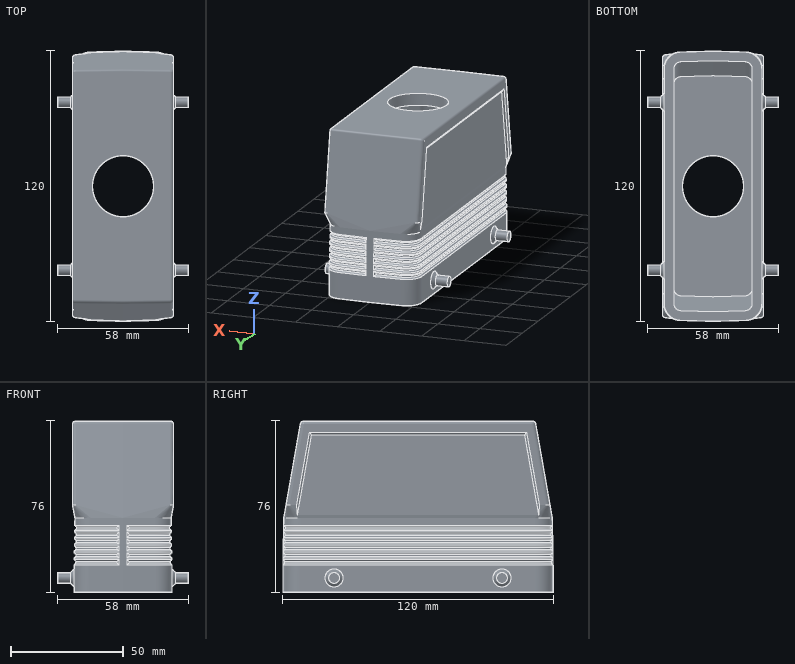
import cadquery as cq
import math

HEIGHT = 76.0
FLANGE_HEIGHT = 12.0
BAND_BOTTOM = 30.0
BAND_TOP = 33.0
FLARE_TOP = 38.7

RIM_HALF_WIDTH = 21.75
RIM_HALF_LENGTH = 60.0
LOWER_DRAFT = 0.35
BAND_HALF_WIDTH = RIM_HALF_WIDTH - LOWER_DRAFT
BAND_HALF_LENGTH = RIM_HALF_LENGTH - LOWER_DRAFT
UPPER_HALF_WIDTH = 22.5
LOWER_CORNER_RADIUS = 7.25
UPPER_FILLET = 1.5

LOWER_RIDGE_ANGLE = math.radians(1.6)
UPPER_RIDGE_ANGLE = math.radians(0.7)
END_LEAN = math.radians(10.0)

GROOVE_COUNT = 6
GROOVE_PITCH = 3.05
GROOVE_MOUTH = 2.3
GROOVE_FLOOR = 0.8
GROOVE_DEPTH = 0.75
BAR_HALF_WIDTH = 1.8

PANEL_DEPTH = 0.85
PANEL_TOP = 71.0
PANEL_END_MARGIN = 4.75
PANEL_WALL_RUN = 1.1

PIN_TIP = 29.0
PIN_RADIUS = 2.4
PIN_HEIGHT = 6.4
PIN_HALF_SPACING = 37.25
COLLAR_RADIUS = 4.0
COLLAR_LENGTH = 1.6

ENTRY_DIAMETER = 27.0
WALL = 4.0
ROOF = 5.5


def upper_half_length(z):
    """Half length of the leaning upper body on the centre line at height z."""
    return BAND_HALF_LENGTH - (z - BAND_TOP) * math.tan(END_LEAN)


def corner_points(half_width, half_length, radius, ridge_angle):
    """End tangent, middle and side tangent of the +X +Y corner arc."""
    centre_x = half_width - radius
    centre_y = half_length - centre_x * math.tan(ridge_angle) - radius / math.cos(ridge_angle)
    end_angle = math.pi / 2 - ridge_angle
    return [
        (centre_x + radius * math.cos(angle), centre_y + radius * math.sin(angle))
        for angle in (end_angle, end_angle / 2, 0)
    ]


def outline(half_width, half_length, radius, z):
    """Closed plan outline at height z: ridged ends and rounded corners."""
    end, middle, side = corner_points(half_width, half_length, radius, LOWER_RIDGE_ANGLE)

    def placed(point, sign_x, sign_y):
        return (sign_x * point[0], sign_y * point[1])

    return (
        cq.Workplane("XY", origin=(0, 0, z))
        .moveTo(0, half_length)
        .lineTo(*end)
        .threePointArc(middle, side)
        .lineTo(*placed(side, 1, -1))
        .threePointArc(placed(middle, 1, -1), placed(end, 1, -1))
        .lineTo(0, -half_length)
        .lineTo(*placed(end, -1, -1))
        .threePointArc(placed(middle, -1, -1), placed(side, -1, -1))
        .lineTo(*placed(side, -1, 1))
        .threePointArc(placed(middle, -1, 1), placed(end, -1, 1))
        .close()
        .val()
    )


def ruled_body(*outlines):
    """Solid with straight walls between successive outlines."""
    return cq.Workplane(obj=cq.Solid.makeLoft(list(outlines), True))


def lower_draft(z):
    """Distance the lower body has drawn in from the rim at height z."""
    return LOWER_DRAFT * max(0, z - FLANGE_HEIGHT) / (BAND_TOP - FLANGE_HEIGHT)


def lower_outline(z, inset=0.0):
    """Outline of the lower body at height z, moved inward by inset on every side."""
    return outline(
        RIM_HALF_WIDTH - lower_draft(z) - inset,
        RIM_HALF_LENGTH - lower_draft(z) - inset / math.cos(LOWER_RIDGE_ANGLE),
        LOWER_CORNER_RADIUS - inset,
        z,
    )


def groove_outlines(z):
    """Outlines, bottom to top, of the trapezoidal groove centred at height z."""
    mouth = GROOVE_MOUTH / 2
    floor = GROOVE_FLOOR / 2
    return [
        lower_outline(z - mouth),
        lower_outline(z - floor, GROOVE_DEPTH),
        lower_outline(z + floor, GROOVE_DEPTH),
        lower_outline(z + mouth),
    ]


def make_end_bars():
    """Upright bars with sloped flanks, flush with the lower body at both ends."""
    root_half_width = BAR_HALF_WIDTH + 2 * GROOVE_DEPTH

    def bar_outline(z):
        ridge_y = RIM_HALF_LENGTH - lower_draft(z)
        face_y = ridge_y - BAR_HALF_WIDTH * math.tan(LOWER_RIDGE_ANGLE)
        root_y = face_y - 2 * GROOVE_DEPTH
        half = [(BAR_HALF_WIDTH, face_y), (root_half_width, root_y)]
        mirrored = [(-x, y) for x, y in reversed(half)]
        points = [(0, ridge_y), *half, *mirrored]
        return cq.Wire.makePolygon([cq.Vector(x, y, z) for x, y in points], close=True)

    bar = ruled_body(bar_outline(FLANGE_HEIGHT), bar_outline(BAND_BOTTOM))
    return bar.union(bar.mirror("XZ"))


def make_lower():
    """Lower body: upright flange, then the drafted grooved waist and plain band."""
    outlines = [lower_outline(0), lower_outline(FLANGE_HEIGHT)]
    middle_z = (FLANGE_HEIGHT + BAND_BOTTOM) / 2
    for index in range(GROOVE_COUNT):
        offset = (index - (GROOVE_COUNT - 1) / 2) * GROOVE_PITCH
        outlines += groove_outlines(middle_z + offset)
    outlines.append(lower_outline(BAND_TOP))
    return ruled_body(*outlines).union(make_end_bars())


def make_flare():
    """Transition from the rounded band to the wider, nearly square upper body."""

    def raised(points, z):
        return [cq.Vector(x, y, z) for x, y in points]

    low_length = BAND_HALF_LENGTH
    high_length = upper_half_length(FLARE_TOP)
    low_points = corner_points(BAND_HALF_WIDTH, low_length, LOWER_CORNER_RADIUS, LOWER_RIDGE_ANGLE)
    high_points = corner_points(UPPER_HALF_WIDTH, high_length, UPPER_FILLET, UPPER_RIDGE_ANGLE)
    low = raised(low_points, BAND_TOP)
    high = raised(high_points, FLARE_TOP)
    low_arc = cq.Edge.makeThreePointArc(*low)
    high_arc = cq.Edge.makeThreePointArc(*high)
    low_end, _, low_side = low
    high_end, _, high_side = high
    low_axis, low_ridge, low_mid = raised([(0, 0), (0, low_length), (BAND_HALF_WIDTH, 0)], BAND_TOP)
    high_axis, high_ridge, high_mid = raised([(0, 0), (0, high_length), (UPPER_HALF_WIDTH, 0)], FLARE_TOP)

    def flat(*points):
        return cq.Face.makeFromWires(cq.Wire.makePolygon(points, close=True))

    def cap(arc, side, middle, axis, ridge, end):
        lines = cq.Wire.makePolygon([side, middle, axis, ridge, end])
        return cq.Face.makeFromWires(cq.Wire.assembleEdges([arc, *lines.Edges()]))

    faces = [
        flat(high_end, high_ridge, low_ridge),
        flat(high_end, low_ridge, low_end),
        cq.Face.makeRuledSurface(low_arc, high_arc),
        flat(low_side, high_side, high_mid, low_mid),
        flat(low_mid, high_mid, high_axis, low_axis),
        flat(low_axis, high_axis, high_ridge, low_ridge),
        cap(low_arc, low_side, low_mid, low_axis, low_ridge, low_end),
        cap(high_arc, high_side, high_mid, high_axis, high_ridge, high_end),
    ]
    quarter = cq.Workplane(obj=cq.Solid.makeSolid(cq.Shell.makeShell(faces)).fix())
    half = quarter.union(quarter.mirror("YZ"))
    return half.union(half.mirror("XZ"))


def make_upper():
    """Leaning upper body, rounded along its four uprights and around the top."""

    def sharp_outline(z):
        ridge_y = upper_half_length(z)
        corner_y = ridge_y - UPPER_HALF_WIDTH * math.tan(UPPER_RIDGE_ANGLE)
        half = [(UPPER_HALF_WIDTH, corner_y), (0, ridge_y), (-UPPER_HALF_WIDTH, corner_y)]
        points = half + [(-x, -y) for x, y in half]
        return cq.Wire.makePolygon([cq.Vector(x, y, z) for x, y in points], close=True)

    upper = ruled_body(sharp_outline(FLARE_TOP), sharp_outline(HEIGHT))
    uprights = upper.faces("<X or >X").edges("not #Z")
    return upper.faces(">Z").edges().add(uprights).fillet(UPPER_FILLET)


def make_panel_cutter():
    """Trapezoidal recess with sloped walls for the -X side, open downward into the flare."""

    def trapezoid(x, inset):
        top = PANEL_TOP - inset
        margin = PANEL_END_MARGIN + inset
        top_y = upper_half_length(top) - margin
        bottom_y = upper_half_length(BAND_TOP) - margin
        corners = [(-bottom_y, BAND_TOP), (bottom_y, BAND_TOP), (top_y, top), (-top_y, top)]
        return cq.Wire.makePolygon([cq.Vector(x, y, z) for y, z in corners], close=True)

    face_x = -UPPER_HALF_WIDTH
    floor_x = face_x + PANEL_DEPTH
    return ruled_body(trapezoid(face_x, 0), trapezoid(floor_x, PANEL_WALL_RUN))


def make_pin(side, y):
    """Locking pin with a conical collar; side is -1 or +1 along X."""
    root_x = RIM_HALF_WIDTH - WALL / 2
    collar_end = RIM_HALF_WIDTH + COLLAR_LENGTH
    pin = (
        cq.Workplane("XZ", origin=(0, y, PIN_HEIGHT))
        .moveTo(root_x, 0)
        .lineTo(root_x, COLLAR_RADIUS)
        .lineTo(RIM_HALF_WIDTH, COLLAR_RADIUS)
        .lineTo(collar_end, PIN_RADIUS)
        .lineTo(PIN_TIP, PIN_RADIUS)
        .lineTo(PIN_TIP, 0)
        .close()
        .revolve(360, (0, 0, 0), (1, 0, 0))
    )
    return pin if side > 0 else pin.mirror("YZ")


def make_pins():
    """The four locking pins as one group."""
    pins = cq.Workplane("XY")
    for side in (-1, 1):
        for y in (-PIN_HALF_SPACING, PIN_HALF_SPACING):
            pins = pins.add(make_pin(side, y))
    return pins.combine()


def make_cavity():
    """Hollow interior, open at the bottom rim."""
    half_width = BAND_HALF_WIDTH - WALL
    radius = LOWER_CORNER_RADIUS - WALL
    ceiling = HEIGHT - ROOF
    straight_length = BAND_HALF_LENGTH - WALL
    ceiling_length = upper_half_length(ceiling) - WALL
    return ruled_body(
        outline(half_width, straight_length, radius, 0),
        outline(half_width, straight_length, radius, BAND_TOP),
        outline(half_width, ceiling_length, radius, ceiling),
    )


def make_hood():
    panel = make_panel_cutter()
    hood = make_flare().union(make_upper()).cut(panel).cut(panel.mirror("YZ"))
    hood = hood.union(make_lower()).union(make_pins())
    entry = cq.Workplane("XY").circle(ENTRY_DIAMETER / 2).extrude(HEIGHT)
    return hood.cut(make_cavity()).cut(entry)


result = make_hood()